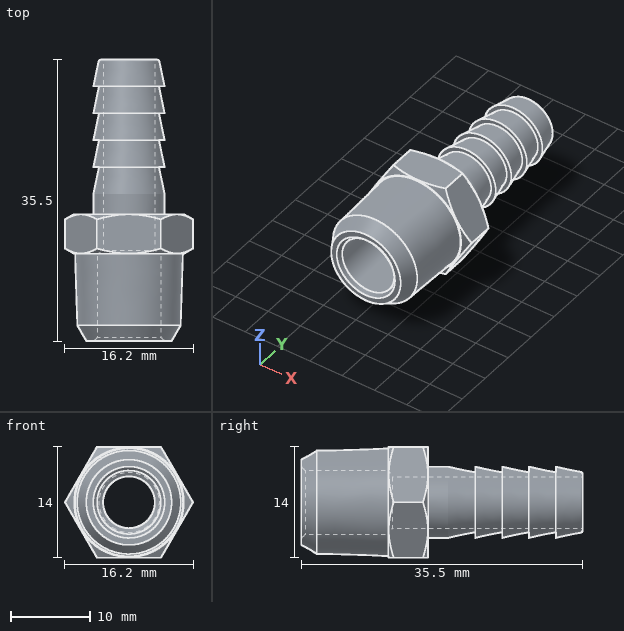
import cadquery as cq
import math


total_length = 35.5
hex_start = 11.0
hex_end = 16.0
barb_start = 18.53
barb_count = 5
barb_pitch = (total_length - barb_start) / barb_count

thread_tip_radius = 6.53
thread_root_radius = 6.8
lead_chamfer_length = 2.0
lead_chamfer_angle = 30.0

hex_across_flats = 14.0
hex_across_corners = hex_across_flats / math.cos(math.radians(30))
hex_chamfer_angle = 30.0
hex_face_radius = 6.92

barb_crest_radius = 4.5
barb_root_radius = 3.8
tail_tip_round = 0.35

tail_bore_radius = 3.25
thread_bore_radius = 4.0
bore_mouth_radius = 4.5
bore_mouth_depth = bore_mouth_radius - thread_bore_radius
thread_bore_depth = hex_start
drill_point_half_angle = 59.0


def revolve_profile(points):
    """Revolve a closed (radius, axial position) outline about the Y axis."""
    return cq.Workplane("XY").polyline(points).close().revolve(360, (0, 0, 0), (0, 1, 0))


def make_thread_body():
    chamfer_width = lead_chamfer_length * math.tan(math.radians(lead_chamfer_angle))
    return revolve_profile([
        (0, 0),
        (thread_tip_radius - chamfer_width, 0),
        (thread_tip_radius, lead_chamfer_length),
        (thread_root_radius, hex_start),
        (0, hex_start),
    ])


def make_hexagon():
    prism = (
        cq.Workplane("XZ", origin=(0, hex_start, 0))
        .polygon(6, hex_across_corners)
        .extrude(hex_start - hex_end)
    )
    corner_radius = hex_across_corners / 2
    slope = math.tan(math.radians(hex_chamfer_angle))
    corner_drop = (corner_radius - hex_face_radius) * slope
    envelope = revolve_profile([
        (0, hex_start),
        (hex_face_radius, hex_start),
        (corner_radius, hex_start + corner_drop),
        (corner_radius, hex_end - corner_drop),
        (hex_face_radius, hex_end),
        (0, hex_end),
    ])
    return prism.intersect(envelope)


def make_hose_tail():
    points = [(0, hex_end), (barb_crest_radius, hex_end)]
    for index in range(barb_count):
        crest = barb_start + index * barb_pitch
        points.append((barb_crest_radius, crest))
        points.append((barb_root_radius, crest + barb_pitch))
    points.append((0, total_length))
    return revolve_profile(points).faces(">Y").edges().fillet(tail_tip_round)


def make_bore():
    step_width = thread_bore_radius - tail_bore_radius
    step_length = step_width / math.tan(math.radians(drill_point_half_angle))
    return revolve_profile([
        (0, 0),
        (bore_mouth_radius, 0),
        (thread_bore_radius, bore_mouth_depth),
        (thread_bore_radius, thread_bore_depth),
        (tail_bore_radius, thread_bore_depth + step_length),
        (tail_bore_radius, total_length),
        (0, total_length),
    ])


body = make_thread_body().union(make_hexagon()).union(make_hose_tail())
result = body.cut(make_bore())